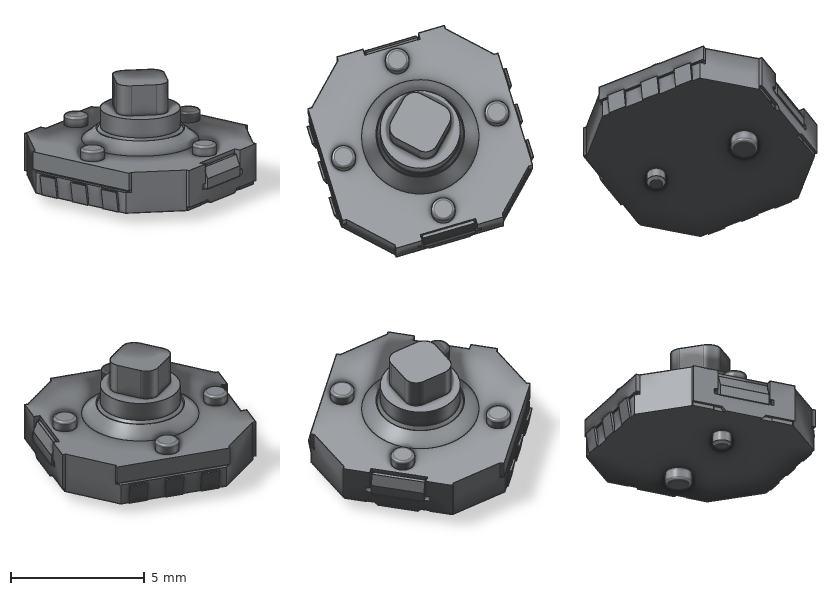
import cadquery as cq

BASE_HALF = 3.72
BASE_HEIGHT = 1.6
CORNER_HALF = 2.1

FLANGE_HALF_WIDTH = 2.25
GAP_BOTTOM = 0.81
GAP_TOP = 0.91
GAP_DEPTH = 0.15

PLATE_OUTER = 3.85
PLATE_BOTTOM = 0.15
TAB_TOP_HALF = 0.91
TAB_TIP_HALF = 0.76

PAD_OUTER = 3.75
PAD_INNER_Y = 1.21
PAD_OUTER_Y = 2.07

WINDOW_FLOOR = 3.61
WINDOW_HALF = 1.08
WINDOW_BOTTOM = 0.62
RELIEF_TOP = 0.84
RELIEF_HALF = 1.24
RELIEF_RADIUS = 0.06
HOOK_HALF = 1.01
HOOK_OUTER = 3.9
HOOK_BOTTOM = 0.6
HOOK_BEND = 1.01
HOOK_TOP = 1.43
HOOK_LIP = 3.73

TERMINAL_WIDTH = 0.7
TERMINAL_PITCH = 1.43
TERMINAL_FOOT = 3.77
TERMINAL_TIP = 3.9
TERMINAL_THICKNESS = 0.09
TERMINAL_HEIGHT = 0.8

CONE_RADIUS = 2.2
RIM_RADIUS = 1.66
RIM_Z = 2.03
GROOVE_RADIUS = 1.62
GROOVE_Z = 1.98

COLLAR_RADIUS = 1.5
COLLAR_BOTTOM = 2.1
COLLAR_TOP = 2.82
STEM_SIDE = 1.95
STEM_CORNER_RADIUS = 0.5
STEM_TOP = 4.0

BOSS_DIAMETER = 0.9
BOSS_OFFSET = 3.0
BOSS_TOP = 2.0
BOSS_FILLET = 0.1

PEG_OFFSET = 1.9
PEG_LENGTH = 0.5
SMALL_PEG_DIAMETER = 0.7
SMALL_PEG_CHAMFER = 0.11
LARGE_PEG_DIAMETER = 1.0
LARGE_PEG_FILLET = 0.125


def box(x_range, y_range, z_range):
    """Box given by its lower and upper limits along each axis."""
    sizes = [high - low for low, high in (x_range, y_range, z_range)]
    corner = (x_range[0], y_range[0], z_range[0])
    return cq.Workplane("XY").box(*sizes, centered=False).translate(corner)


def both_sides(shape):
    """The shape together with its copy turned half a turn about Z."""
    return shape.union(shape.rotate((0, 0, 0), (0, 0, 1), 180))


def make_base():
    return (
        cq.Workplane("XY")
        .rect(2 * BASE_HALF, 2 * BASE_HALF)
        .extrude(BASE_HEIGHT)
        .edges("|Z")
        .chamfer(BASE_HALF - CORNER_HALF)
    )


def make_flanges():
    width = (-FLANGE_HALF_WIDTH, FLANGE_HALF_WIDTH)
    return box(width, (-BASE_HALF, BASE_HALF), (GAP_TOP, BASE_HEIGHT))


def make_gaps():
    width = (-FLANGE_HALF_WIDTH, FLANGE_HALF_WIDTH)
    depth = (-BASE_HALF, GAP_DEPTH - BASE_HALF)
    return both_sides(box(width, depth, (GAP_BOTTOM, GAP_TOP)))


def make_plates():
    """Side plates, each with a tapered tab reaching down to Z = 0."""
    outline = [
        (-CORNER_HALF, BASE_HEIGHT),
        (-CORNER_HALF, PLATE_BOTTOM),
        (-TAB_TOP_HALF, PLATE_BOTTOM),
        (-TAB_TIP_HALF, 0),
        (TAB_TIP_HALF, 0),
        (TAB_TOP_HALF, PLATE_BOTTOM),
        (CORNER_HALF, PLATE_BOTTOM),
        (CORNER_HALF, BASE_HEIGHT),
    ]
    plate = cq.Workplane("YZ", origin=(BASE_HALF, 0, 0)).polyline(outline).close()
    return both_sides(plate.extrude(PLATE_OUTER - BASE_HALF))


def make_pads():
    pads = cq.Workplane("XY")
    for y_range in ((PAD_INNER_Y, PAD_OUTER_Y), (-PAD_OUTER_Y, -PAD_INNER_Y)):
        pads = pads.add(box((BASE_HALF, PAD_OUTER), y_range, (0, PLATE_BOTTOM)))
    return both_sides(pads.combine())


def make_windows():
    """Openings in the plates, widened at the bottom by rounded reliefs."""
    depth = (WINDOW_FLOOR, PLATE_OUTER)
    opening = box(depth, (-WINDOW_HALF, WINDOW_HALF), (WINDOW_BOTTOM, BASE_HEIGHT))
    relief = box(depth, (-RELIEF_HALF, RELIEF_HALF), (WINDOW_BOTTOM, RELIEF_TOP))
    return both_sides(opening.union(relief.edges("|X").fillet(RELIEF_RADIUS)))


def make_hooks():
    profile = [
        (WINDOW_FLOOR, HOOK_BOTTOM),
        (HOOK_OUTER, HOOK_BOTTOM),
        (HOOK_OUTER, HOOK_BEND),
        (HOOK_LIP, HOOK_TOP),
        (WINDOW_FLOOR, HOOK_TOP),
    ]
    hook = cq.Workplane("XZ").polyline(profile).close().extrude(HOOK_HALF, both=True)
    return both_sides(hook)


def make_terminals():
    """Leaning strips that start at the foot of the base."""
    profile = [
        (TERMINAL_FOOT - TERMINAL_THICKNESS, 0),
        (TERMINAL_FOOT, 0),
        (TERMINAL_TIP, TERMINAL_HEIGHT),
        (TERMINAL_TIP - TERMINAL_THICKNESS, TERMINAL_HEIGHT),
    ]
    strip = cq.Workplane("YZ").polyline(profile).close().extrude(TERMINAL_WIDTH / 2, both=True)
    row = cq.Workplane("XY")
    for index in (-1, 0, 1):
        row = row.add(strip.translate((index * TERMINAL_PITCH, 0, 0)))
    return both_sides(row.combine())


def make_dome_and_collar():
    """Cover cone, shallow groove, plunger skirt and collar, turned about Z."""
    profile = [
        (0, BASE_HEIGHT),
        (CONE_RADIUS, BASE_HEIGHT),
        (RIM_RADIUS, RIM_Z),
        (GROOVE_RADIUS, GROOVE_Z),
        (COLLAR_RADIUS, COLLAR_BOTTOM),
        (COLLAR_RADIUS, COLLAR_TOP),
        (0, COLLAR_TOP),
    ]
    return cq.Workplane("XZ").polyline(profile).close().revolve(360, (0, 0), (0, 1))


def make_stem():
    stem = (
        cq.Workplane("XY", origin=(0, 0, COLLAR_TOP))
        .rect(STEM_SIDE, STEM_SIDE)
        .extrude(STEM_TOP - COLLAR_TOP)
        .edges("|Z")
        .fillet(STEM_CORNER_RADIUS)
    )
    return stem.rotate((0, 0, 0), (0, 0, 1), 45)


def make_bosses():
    return (
        cq.Workplane("XY", origin=(0, 0, BASE_HEIGHT))
        .polarArray(BOSS_OFFSET, 0, 360, 4)
        .circle(BOSS_DIAMETER / 2)
        .extrude(BOSS_TOP - BASE_HEIGHT)
        .faces(">Z")
        .edges()
        .fillet(BOSS_FILLET)
    )


def make_peg(x, diameter):
    return cq.Workplane("XY").center(x, 0).circle(diameter / 2).extrude(-PEG_LENGTH)


def make_pegs():
    small = make_peg(-PEG_OFFSET, SMALL_PEG_DIAMETER).faces("<Z").chamfer(SMALL_PEG_CHAMFER)
    large = make_peg(PEG_OFFSET, LARGE_PEG_DIAMETER).faces("<Z").edges().fillet(LARGE_PEG_FILLET)
    return small.union(large)


body = make_base().union(make_flanges()).cut(make_gaps()).union(make_plates()).union(make_pads())
body = body.cut(make_windows()).union(make_hooks()).union(make_terminals())
result = (
    body.union(make_dome_and_collar())
    .union(make_stem())
    .union(make_bosses())
    .union(make_pegs())
)